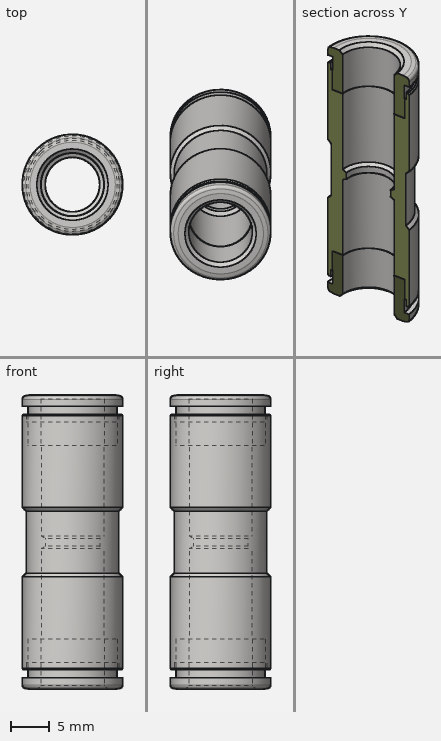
import cadquery as cq
import math

total_length = 38.0
outer_diameter = 13.0

flange_length = 1.5
flange_fillet = 0.5
face_diameter = 11.0
face_cone_angle = 10.0
neck_diameter = 11.5
collar_bore_diameter = 8.2
collar_mouth_diameter = 9.2
collar_insertion = 4.0

flange_gap = 1.0
end_chamfer = 0.2
mouth_recess_diameter = 12.0
mouth_recess_depth = 1.0
waist_diameter = 12.0
waist_length = 8.0
tube_bore_diameter = 8.1
stop_bore_diameter = 7.0
stop_length = 1.0
stop_cone_angle = 30.0

half_length = total_length / 2
housing_end = half_length - flange_length - flange_gap
collar_bottom = housing_end - collar_insertion
waist_chamfer = (outer_diameter - waist_diameter) / 2
outer_radius = outer_diameter / 2
waist_radius = waist_diameter / 2
face_radius = face_diameter / 2
neck_radius = neck_diameter / 2
mouth_recess_radius = mouth_recess_diameter / 2
collar_bore_radius = collar_bore_diameter / 2
collar_mouth_radius = collar_mouth_diameter / 2
tube_bore_radius = tube_bore_diameter / 2
stop_bore_radius = stop_bore_diameter / 2


def revolve_about_z(profile):
    """Turn a closed profile of (radius, height) points about the Z axis."""
    return profile.close().revolve(360, (0, 0, 0), (0, 1, 0))


def make_housing():
    """Straight tube union: two thick ends, a slimmer waist and a tube stop in the middle."""
    waist_end = waist_length / 2
    stop_end = stop_length / 2
    seat_end = stop_end + (tube_bore_radius - stop_bore_radius) * math.tan(math.radians(stop_cone_angle))

    upper_outside = [
        (waist_radius, waist_end),
        (outer_radius, waist_end + waist_chamfer),
        (outer_radius, housing_end - end_chamfer),
        (outer_radius - end_chamfer, housing_end),
    ]
    upper_inside = [
        (mouth_recess_radius, housing_end),
        (mouth_recess_radius, housing_end - mouth_recess_depth),
        (neck_radius, housing_end - mouth_recess_depth),
        (neck_radius, collar_bottom),
        (tube_bore_radius, collar_bottom),
        (tube_bore_radius, seat_end),
        (stop_bore_radius, stop_end),
    ]
    upper_half = upper_outside + upper_inside
    lower_half = [(radius, -height) for radius, height in reversed(upper_half)]
    return revolve_about_z(cq.Workplane("XZ").polyline(upper_half + lower_half))


def make_collar():
    """Flanged release collar at the top end, its flange facing up."""
    flange_bottom = half_length - flange_length
    mouth_depth = collar_mouth_radius - collar_bore_radius

    slope = math.radians(face_cone_angle)
    fillet_center_radius = outer_radius - flange_fillet
    cone_end_radius = fillet_center_radius + flange_fillet * math.sin(slope)
    cone_end_height = half_length - (cone_end_radius - face_radius) * math.tan(slope)
    fillet_center_height = cone_end_height - flange_fillet * math.cos(slope)
    fillet_middle_angle = (math.pi / 2 - slope) / 2
    fillet_middle = (
        fillet_center_radius + flange_fillet * math.cos(fillet_middle_angle),
        fillet_center_height + flange_fillet * math.sin(fillet_middle_angle),
    )

    profile = (
        cq.Workplane("XZ")
        .moveTo(collar_bore_radius, collar_bottom)
        .lineTo(collar_bore_radius, half_length - mouth_depth)
        .lineTo(collar_mouth_radius, half_length)
        .lineTo(face_radius, half_length)
        .lineTo(cone_end_radius, cone_end_height)
        .threePointArc(fillet_middle, (outer_radius, fillet_center_height))
        .lineTo(outer_radius, flange_bottom)
        .lineTo(neck_radius, flange_bottom)
        .lineTo(neck_radius, collar_bottom)
    )
    return revolve_about_z(profile)


housing = make_housing()
top_collar = make_collar()
collars = [top_collar.rotate((0, 0, 0), (1, 0, 0), angle) for angle in (0, 180)]

result = cq.Compound.makeCompound([housing.val(), *[collar.val() for collar in collars]])